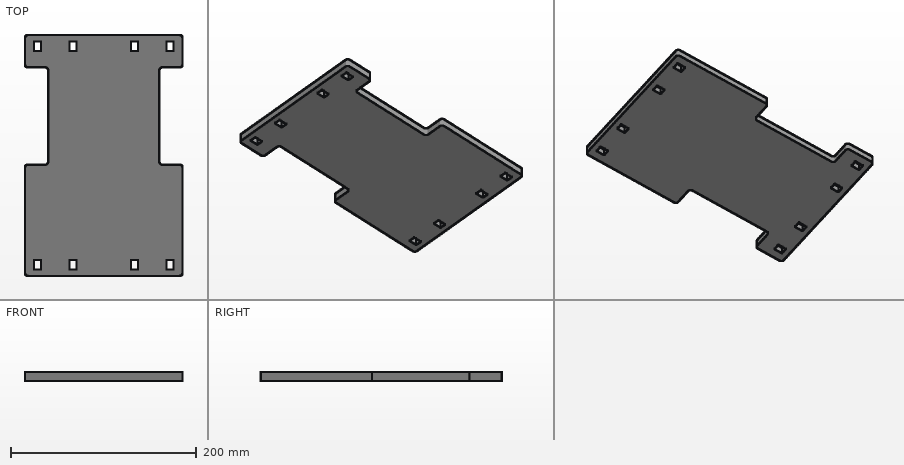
import cadquery as cq

length = 260.0
width = 170.0
thickness = 10.0
waist_width = 120.0
back_band_length = 35.0
front_band_length = 120.0
corner_radius = 3.0

slot_width = 7.3
slot_length = 10.0
slot_end_margin = 7.3
slot_side_margin = 10.0
slot_pitch = 38.2

outer_slot_x = width / 2 - slot_side_margin - slot_width / 2
inner_slot_x = outer_slot_x - slot_pitch
slot_row_y = length / 2 - slot_end_margin - slot_length / 2


def make_plate():
    """Plate with a side notch cut from each long edge and all corners rounded."""
    notch_length = length - back_band_length - front_band_length
    notch_center_y = -length / 2 + front_band_length + notch_length / 2
    notch_depth = (width - waist_width) / 2
    notch_centers = [(side * width / 2, notch_center_y) for side in (-1, 1)]

    plate = cq.Workplane("XY").rect(width, length).extrude(thickness)
    notches = (
        cq.Workplane("XY")
        .pushPoints(notch_centers)
        .rect(2 * notch_depth, notch_length)
        .extrude(thickness)
    )
    return plate.cut(notches).edges("|Z").fillet(corner_radius)


def make_slots():
    """Four slots per row, mirrored about both the X and Y axes."""
    slot_columns = (-outer_slot_x, -inner_slot_x, inner_slot_x, outer_slot_x)
    slot_centers = [(x, y) for x in slot_columns for y in (-slot_row_y, slot_row_y)]
    return (
        cq.Workplane("XY")
        .pushPoints(slot_centers)
        .rect(slot_width, slot_length)
        .extrude(thickness)
    )


result = make_plate().cut(make_slots())